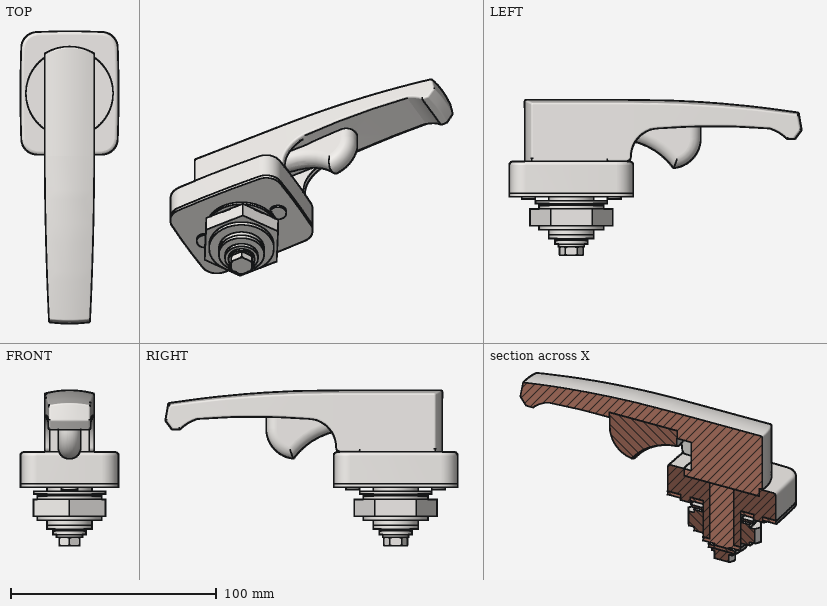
import cadquery as cq
import math


housing_half_width = 23.2
housing_half_length = 29.5
side_bulge = 0.78
corner_radius = 8.0
gasket_thickness = 1.8
housing_top = 17.2
housing_top_fillet = 1.8
sleeve_diameter = 22.0
sleeve_radius = sleeve_diameter / 2
sleeve_bottom = -18.4
peg_radius = 4.1
peg_offset = 20.0
peg_flat_offset = 17.5
peg_length = 1.1

disc_radius = 21.2
disc_thickness = 4.3
handle_top = 47.2
back_radius = 22.8
block_half_width = 12.1
grip_start = -30.5
tip_half_width = 10.0
heel_front = -29.0
heel_top = 19.6
throat_mid = (-32.3, 28.5)
belly_back = (-41.1, 33.2)
belly_mid = (-67.9, 34.3)
belly_front = (-96.5, 33.2)
hook_mid = (-100.9, 31.2)
hook_bottom = (-104.9, 28.0)
hook_flat_front = -108.8
tip_y = -112.1
tip_height = 32.5
tip_face_top = (-110.5, 41.0)
tip_clear_y = -109.4
tip_plan_radius = 71.1
grip_side_radius = 1750.0
grip_top_radius = 516.5
grip_sweep_angle = 11.0
crown_radius = 45.5
section_margin = 1.4
handle_edge_fillet = 1.0
heel_fillet = 2.3
foot_height = 1.4
cheek_thickness = 2.5
recess_back = -17.1
recess_front = -42.7
recess_top = 32.7

trigger_width = 11.1
trigger_edge_fillet = 5.3
trigger_top = 37.0
trigger_heel_height = 27.7
trigger_hollow_mid = (-38.5, 23.6)
trigger_hollow_end = (-49.8, 13.7)
trigger_blank_corner = (-54.0, 8.0)
trigger_heel = -24.9
trigger_front = -63.0
trigger_nose_radius = 14.8
trigger_nose_height = 28.6

washer_radius = 17.5
washer_top = -1.8
washer_thickness = 1.4
nut_across_flats = 35.0
nut_collar_radius = 15.8
nut_top = -4.1
nut_hex_top = -5.8
nut_hex_bottom = -14.1
nut_bottom = -16.1

spindle_radius = 7.1
spindle_flange_thickness = 2.0
spindle_square = 10.0
spindle_square_length = 0.9
screw_washer_diameter = 16.1
screw_washer_thickness = 1.8
screw_collar_diameter = 12.7
screw_collar_thickness = 1.3
screw_head_across_flats = 10.1
screw_head_chamfer = 0.4
screw_shank_radius = 3.0
screw_depth = 11.4
screw_bottom = -28.5

COS_30 = math.cos(math.radians(30))

disc_bottom = housing_top - disc_thickness
flange_bottom = sleeve_bottom - spindle_flange_thickness
square_bottom = flange_bottom - spindle_square_length
screw_washer_bottom = square_bottom - screw_washer_thickness
screw_head_top = screw_washer_bottom - screw_collar_thickness


def cylinder(radius, bottom, top):
    return cq.Workplane("XY").workplane(offset=bottom).circle(radius).extrude(top - bottom)


def hexagon(across_flats, bottom, top):
    """Hexagonal prism with two flats facing +X and -X."""
    prism = cq.Workplane("XY").workplane(offset=bottom)
    return prism.transformed(rotate=(0, 0, 30)).polygon(6, across_flats / COS_30).extrude(top - bottom)


def bowed_plate(bottom, top):
    """Rounded rectangle whose four sides bow slightly outward."""
    x, y = housing_half_width, housing_half_length
    return (
        cq.Workplane("XY").workplane(offset=bottom)
        .moveTo(-x, -y)
        .threePointArc((0, -y - side_bulge), (x, -y))
        .threePointArc((x + side_bulge, 0), (x, y))
        .threePointArc((0, y + side_bulge), (-x, y))
        .threePointArc((-x - side_bulge, 0), (-x, -y))
        .close()
        .extrude(top - bottom)
        .edges("|Z").fillet(corner_radius)
    )


def make_pegs():
    """Two round pegs under the housing, each with a flat facing the latch axis."""
    pegs = (
        cq.Workplane("XY").workplane(offset=-peg_length)
        .pushPoints([(0, peg_offset), (0, -peg_offset)])
        .circle(peg_radius)
        .extrude(peg_length + gasket_thickness)
    )
    flat_width = 2 * peg_flat_offset
    between_flats = cq.Workplane("XY").box(flat_width, flat_width, 2 * (peg_length + gasket_thickness))
    return pegs.cut(between_flats)


def make_housing():
    plate = bowed_plate(gasket_thickness, housing_top).faces(">Z").edges().fillet(housing_top_fillet)
    sleeve = cylinder(sleeve_radius, sleeve_bottom, gasket_thickness)
    disc_seat = cylinder(disc_radius, disc_bottom, housing_top)
    bore = cylinder(spindle_radius, sleeve_bottom, disc_bottom)
    return plate.union(sleeve).union(make_pegs()).cut(disc_seat).cut(bore)


def make_gasket():
    sleeve_hole = cylinder(sleeve_radius, 0, gasket_thickness)
    return bowed_plate(0, gasket_thickness).cut(sleeve_hole).cut(make_pegs())


def handle_side_profile():
    """Side outline of the block and grip, reaching above the crowned top that trims it."""
    return (
        cq.Workplane("YZ")
        .moveTo(back_radius, housing_top)
        .lineTo(heel_front, housing_top)
        .lineTo(heel_front, heel_top)
        .threePointArc(throat_mid, belly_back)
        .threePointArc(belly_mid, belly_front)
        .threePointArc(hook_mid, hook_bottom)
        .lineTo(tip_y, hook_bottom[1])
        .lineTo(tip_y, handle_top)
        .lineTo(back_radius, handle_top)
        .close()
        .extrude(block_half_width, both=True)
    )


def handle_plan():
    """Plan outline: parallel block with an arched back, and a grip with slightly curved sides."""
    height = handle_top - housing_top
    block = (
        cq.Workplane("XY").workplane(offset=housing_top)
        .rect(2 * block_half_width, 2 * back_radius)
        .extrude(height)
        .intersect(cylinder(back_radius, housing_top, handle_top))
    )
    middle = cq.Workplane("XY").workplane(offset=housing_top)
    middle = middle.moveTo(0, grip_start / 2).rect(2 * block_half_width, -grip_start).extrude(height)
    grip = (
        cq.Workplane("XY").workplane(offset=housing_top)
        .moveTo(-block_half_width, grip_start)
        .radiusArc((-tip_half_width, tip_y), -grip_side_radius)
        .lineTo(tip_half_width, tip_y)
        .radiusArc((block_half_width, grip_start), -grip_side_radius)
        .close()
        .extrude(height)
    )
    return block.union(middle).union(grip)


def rounded_tip():
    """Round body whose near side is the ridged, slightly curved end face of the grip."""
    axis_y = tip_y + tip_plan_radius
    return (
        cq.Workplane("YZ")
        .moveTo(axis_y, 0)
        .lineTo(hook_flat_front, 0)
        .lineTo(hook_flat_front, hook_bottom[1])
        .lineTo(tip_y, tip_height)
        .lineTo(*tip_face_top)
        .lineTo(tip_clear_y, handle_top)
        .lineTo(axis_y, handle_top)
        .close()
        .revolve(360, (axis_y, 0), (axis_y, 1))
    )


def crowned_section():
    """Cross section with the crowned top, drawn where the block meets the grip."""
    half_width = block_half_width + section_margin
    crown_drop = crown_radius - (crown_radius**2 - half_width**2) ** 0.5
    return (
        cq.Workplane("XZ", origin=(0, grip_start, 0))
        .moveTo(-half_width, 0)
        .lineTo(-half_width, handle_top - crown_drop)
        .threePointArc((0, handle_top), (half_width, handle_top - crown_drop))
        .lineTo(half_width, 0)
        .close()
    )


def crowned_top():
    """Straight over the block, then bending down along the grip."""
    bend_height = handle_top - grip_top_radius
    over_block = crowned_section().extrude(grip_start - back_radius)
    over_grip = crowned_section().revolve(grip_sweep_angle, (0, bend_height), (1, bend_height))
    return over_block.union(over_grip)


def block_foot():
    """Lowest slice of the block where it stands on the disc or behind it; its edges stay sharp."""
    on_disc = cylinder(disc_radius, housing_top, handle_top)
    behind = cq.Workplane("XY").workplane(offset=housing_top)
    behind = behind.moveTo(0, back_radius / 2).rect(2 * block_half_width, back_radius).extrude(foot_height)
    foot = cylinder(back_radius, housing_top, housing_top + foot_height).intersect(handle_plan())
    return foot.intersect(on_disc.union(behind))


def finger_recess():
    """Pocket in the front of the block, open at the bottom and leaving a cheek on each side."""
    length = recess_back - recess_front
    width = 2 * (block_half_width - cheek_thickness)
    recess = cq.Workplane("XY").workplane(offset=housing_top)
    return recess.moveTo(0, recess_back - length / 2).rect(width, length).extrude(recess_top - housing_top)


def make_handle(trigger):
    handle = handle_side_profile().intersect(handle_plan()).intersect(crowned_top()).intersect(rounded_tip())
    handle = handle.edges("|X and <Z").fillet(heel_fillet)
    handle = handle.edges("not(<Z or |X)").fillet(handle_edge_fillet)
    disc = cylinder(disc_radius, disc_bottom, housing_top)
    return handle.union(block_foot()).cut(finger_recess()).union(disc).cut(trigger)


def trigger_back():
    """Trigger blank whose hollow underside, facing the block, has rounded edges."""
    front = trigger_front - trigger_nose_radius
    blank = (
        cq.Workplane("YZ")
        .moveTo(trigger_heel, trigger_top)
        .lineTo(trigger_heel, trigger_heel_height)
        .threePointArc(trigger_hollow_mid, trigger_hollow_end)
        .lineTo(*trigger_blank_corner)
        .lineTo(front, trigger_blank_corner[1])
        .lineTo(front, trigger_top)
        .close()
        .extrude(trigger_width / 2, both=True)
    )
    return blank.edges("%CIRCLE").fillet(trigger_edge_fillet)


def trigger_nose():
    """Trigger blank whose round nose has rounded edges."""
    bottom = trigger_nose_height - trigger_nose_radius
    blank = (
        cq.Workplane("YZ")
        .moveTo(trigger_heel, trigger_top)
        .lineTo(trigger_heel, bottom)
        .lineTo(trigger_front + trigger_nose_radius, bottom)
        .radiusArc((trigger_front, trigger_nose_height), trigger_nose_radius)
        .lineTo(trigger_front, trigger_top)
        .close()
        .extrude(trigger_width / 2, both=True)
    )
    return blank.edges("%CIRCLE").fillet(trigger_edge_fillet)


def make_trigger():
    return trigger_back().intersect(trigger_nose())


def make_washer():
    bottom = washer_top - washer_thickness
    return cylinder(washer_radius, bottom, washer_top).cut(cylinder(sleeve_radius, bottom, washer_top))


def make_nut():
    collars = cylinder(nut_collar_radius, nut_bottom, nut_top)
    bore = cylinder(sleeve_radius, nut_bottom, nut_top)
    return collars.union(hexagon(nut_across_flats, nut_hex_bottom, nut_hex_top)).cut(bore)


def screw_shank(bottom):
    return cylinder(screw_shank_radius, bottom, square_bottom + screw_depth)


def make_spindle():
    shaft = cylinder(spindle_radius, sleeve_bottom, disc_bottom)
    flange = cylinder(sleeve_radius, flange_bottom, sleeve_bottom)
    square = (
        cq.Workplane("XY").workplane(offset=square_bottom)
        .rect(spindle_square, spindle_square)
        .extrude(spindle_square_length)
        .rotate((0, 0, 0), (0, 0, 1), 45)
    )
    return shaft.union(flange).union(square).cut(screw_shank(square_bottom))


def make_screw_washer():
    washer_blank = cylinder(screw_washer_diameter / 2, screw_washer_bottom, square_bottom)
    return washer_blank.cut(screw_shank(screw_washer_bottom))


def make_screw():
    collar = cylinder(screw_collar_diameter / 2, screw_head_top, screw_washer_bottom)
    head_corner_radius = screw_head_across_flats / 2 / COS_30
    turned = cylinder(head_corner_radius, screw_bottom, screw_head_top).edges().chamfer(screw_head_chamfer)
    head = hexagon(screw_head_across_flats, screw_bottom, screw_head_top).intersect(turned)
    return head.union(collar).union(screw_shank(screw_washer_bottom))


trigger = make_trigger()
handle = make_handle(trigger)
housing = make_housing()
gasket = make_gasket()
washer = make_washer()
nut = make_nut()
spindle = make_spindle()
screw_washer = make_screw_washer()
screw = make_screw()

result = cq.Compound.makeCompound([
    handle.val(), trigger.val(), housing.val(), gasket.val(), washer.val(),
    nut.val(), spindle.val(), screw_washer.val(), screw.val(),
])